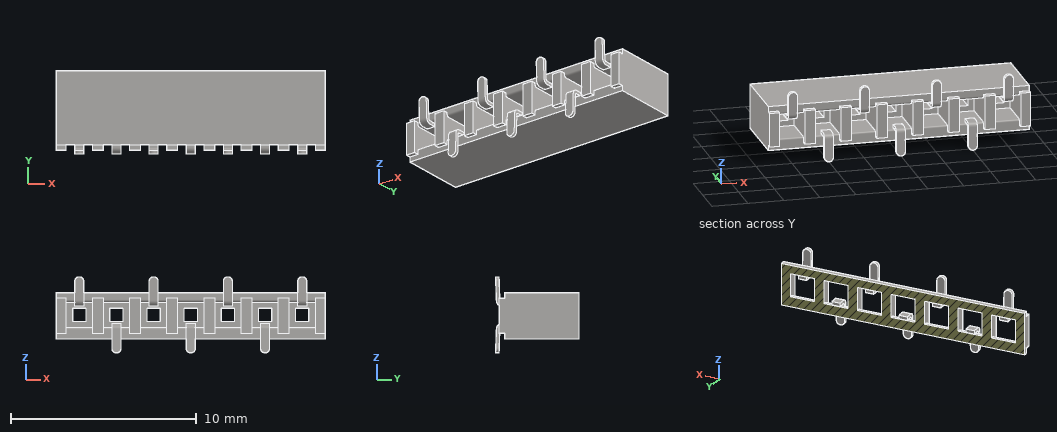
import cadquery as cq
import math


CONTACT_COUNT = 7
PITCH = 2.0
PIN_WIDTH = 0.5
PIN_THICKNESS = 0.2
PIN_SPAN = 4.1
PIN_INNER_FACE = 0.47
PIN_BEND_RADIUS = 0.1
PIN_TILT = math.radians(2)
PIN_BAR_END = 0.25
PIN_PROJECTION = 0.5

HOUSING_LENGTH = 14.5
HOUSING_DEPTH = 4.0
HOUSING_HEIGHT = 2.5
HOUSING_MID_Z = -0.05
RIB_PROJECTION = 0.3
RIB_HEIGHT = 1.9

CAVITY_WIDTH = 1.4
CAVITY_HEIGHT = 2 * (PIN_INNER_FACE + PIN_THICKNESS)
CAVITY_DEPTH = 2.0
LIP_RADIUS = 0.13
HOLE_SIZE = 0.7


def block(length, height, y_front, y_rear, mid_x, mid_z):
    """Box centred on mid_x and mid_z, reaching from y_front to y_rear."""
    return cq.Workplane("XY").box(length, y_rear - y_front, height).translate(
        (mid_x, (y_front + y_rear) / 2, mid_z)
    )


def make_housing():
    """Solid housing with the band from which the front ribs are left standing."""
    body = block(HOUSING_LENGTH, HOUSING_HEIGHT, 0, HOUSING_DEPTH, 0, HOUSING_MID_Z)
    rib_band = block(HOUSING_LENGTH, RIB_HEIGHT, -RIB_PROJECTION, 0, 0, HOUSING_MID_Z)
    return body.union(rib_band)


def cavity_cutter(x):
    """Pocket with flared mouth, the gap between ribs, and the through hole."""
    half_height = CAVITY_HEIGHT / 2
    mouth = half_height + LIP_RADIUS
    pocket = (
        cq.Workplane("YZ")
        .moveTo(CAVITY_DEPTH, -half_height)
        .lineTo(LIP_RADIUS, -half_height)
        .radiusArc((0, -mouth), -LIP_RADIUS)
        .lineTo(0, mouth)
        .radiusArc((LIP_RADIUS, half_height), -LIP_RADIUS)
        .lineTo(CAVITY_DEPTH, half_height)
        .close()
        .extrude(CAVITY_WIDTH / 2, both=True)
        .translate((x, 0, 0))
    )
    rib_gap = block(CAVITY_WIDTH, HOUSING_HEIGHT, -RIB_PROJECTION, 0, x, HOUSING_MID_Z)
    hole = block(HOLE_SIZE, HOLE_SIZE, 0, HOUSING_DEPTH, x, 0)
    return pocket.union(rib_gap).union(hole)


def make_pin():
    """Upward pin at X = 0: bar resting on the cavity roof, bend, and forward-leaning leg."""
    outer_radius = PIN_BEND_RADIUS + PIN_THICKNESS
    bend_z = PIN_INNER_FACE + outer_radius
    tip_z = PIN_SPAN / 2
    leg_turn = math.pi / 2 - PIN_TILT
    leg_length = (tip_z - bend_z + outer_radius * math.sin(PIN_TILT)) / math.cos(PIN_TILT)
    leg_y = -leg_length * math.sin(PIN_TILT)
    leg_z = leg_length * math.cos(PIN_TILT)
    bend_y = outer_radius * math.cos(PIN_TILT) - leg_y - PIN_PROJECTION

    def on_bend(radius, turn):
        """Point on the bend after turning by an angle from the bar's direction."""
        return (bend_y - radius * math.sin(turn), bend_z - radius * math.cos(turn))

    def on_leg_end(radius):
        y, z = on_bend(radius, leg_turn)
        return (y + leg_y, z + leg_z)

    strip = (
        cq.Workplane("YZ")
        .moveTo(PIN_BAR_END, PIN_INNER_FACE)
        .lineTo(*on_bend(outer_radius, 0))
        .threePointArc(on_bend(outer_radius, leg_turn / 2), on_bend(outer_radius, leg_turn))
        .lineTo(*on_leg_end(outer_radius))
        .lineTo(*on_leg_end(PIN_BEND_RADIUS))
        .lineTo(*on_bend(PIN_BEND_RADIUS, leg_turn))
        .threePointArc(on_bend(PIN_BEND_RADIUS, leg_turn / 2), on_bend(PIN_BEND_RADIUS, 0))
        .lineTo(PIN_BAR_END, PIN_INNER_FACE + PIN_THICKNESS)
        .close()
        .extrude(PIN_WIDTH / 2, both=True)
    )
    rounded_outline = (
        cq.Workplane("XZ")
        .slot2D(PIN_SPAN, PIN_WIDTH, 90)
        .extrude(HOUSING_DEPTH, both=True)
    )
    return strip.intersect(rounded_outline)


def make_socket():
    socket = make_housing()
    upper_pin = make_pin()
    lower_pin = upper_pin.mirror("XY")
    for index in range(CONTACT_COUNT):
        x = (index - (CONTACT_COUNT - 1) / 2) * PITCH
        pin = upper_pin if index % 2 == 0 else lower_pin
        socket = socket.cut(cavity_cutter(x)).union(pin.translate((x, 0, 0)))
    return socket


result = make_socket()